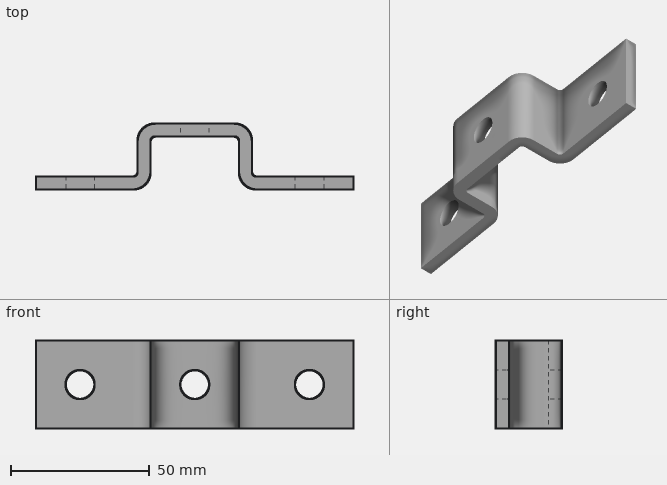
import cadquery as cq

overall_length = 114.3
overall_depth = 23.8125
strip_width = 31.75
thickness = 4.7625
channel_width = 31.75
inner_bend_radius = 1.5875
hole_diameter = 10.3188
hole_spacing = 41.275

outer_bend_radius = inner_bend_radius + thickness
half_length = overall_length / 2
half_channel = channel_width / 2
half_hat = half_channel + thickness
flange_front = -overall_depth / 2
flange_back = flange_front + thickness
crown_back = overall_depth / 2
crown_front = crown_back - thickness


def hat_strip():
    """Sharp-cornered hat profile in XY, extruded along Z."""
    profile = [
        (-half_length, flange_front),
        (-half_channel, flange_front),
        (-half_channel, crown_front),
        (half_channel, crown_front),
        (half_channel, flange_front),
        (half_length, flange_front),
        (half_length, flange_back),
        (half_hat, flange_back),
        (half_hat, crown_back),
        (-half_hat, crown_back),
        (-half_hat, flange_back),
        (-half_length, flange_back),
    ]
    return cq.Workplane("XY").polyline(profile).close().extrude(strip_width / 2, both=True)


def round_edges_at(body, x, y, radius):
    """Round the pair of Z edges at (+x, y) and (-x, y)."""
    for edge_x in (-x, x):
        edge = cq.selectors.NearestToPointSelector((edge_x, y, 0))
        body = body.edges("|Z").edges(edge).fillet(radius)
    return body


def round_bends(body):
    """Give all four bends concentric inner and outer radii."""
    body = round_edges_at(body, half_channel, flange_front, outer_bend_radius)
    body = round_edges_at(body, half_hat, crown_back, outer_bend_radius)
    body = round_edges_at(body, half_channel, crown_front, inner_bend_radius)
    return round_edges_at(body, half_hat, flange_back, inner_bend_radius)


def drill_holes(body):
    """Drill one hole through the crown and one through each flange, along Y."""
    hole_centres = [(-hole_spacing, 0), (0, 0), (hole_spacing, 0)]
    drills = (
        cq.Workplane("XZ")
        .pushPoints(hole_centres)
        .circle(hole_diameter / 2)
        .extrude(overall_depth, both=True)
    )
    return body.cut(drills)


result = drill_holes(round_bends(hat_strip()))